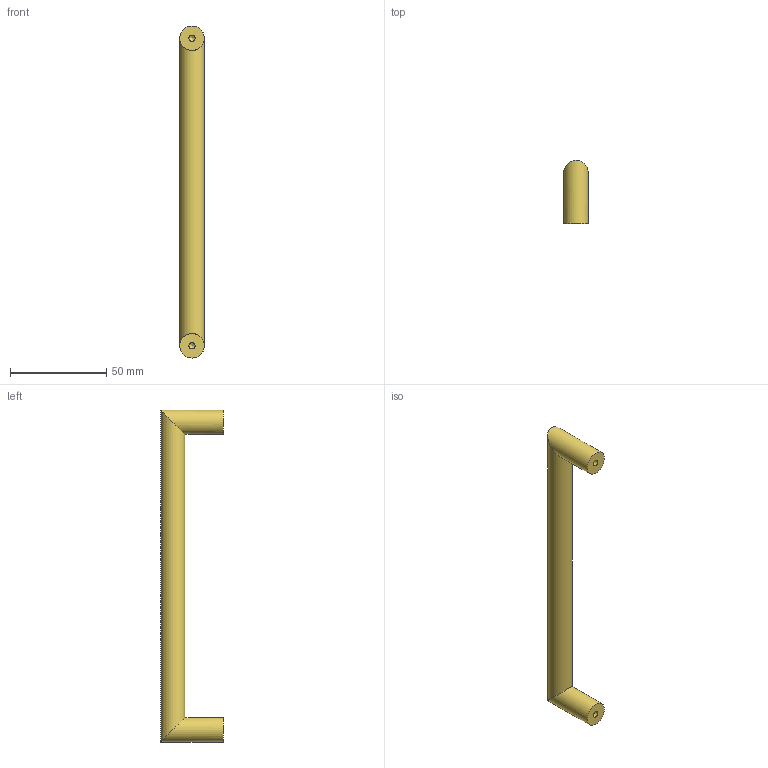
import cadquery as cq
import math

bar_diameter = 12.7
hole_spacing = 160.0
projection = 32.7
hole_diameter = 3.3
hole_depth = 12.0
drill_point_angle = 118.0

bar_radius = bar_diameter / 2
half_spacing = hole_spacing / 2
grip_axis_y = projection - bar_radius
hole_radius = hole_diameter / 2
drill_point_length = hole_radius / math.tan(math.radians(drill_point_angle / 2))


def mitred_bar():
    """Round bar swept along a U-shaped path with sharp mitred corners; feet end at Y = 0."""
    path = cq.Workplane("YZ").polyline(
        [
            (0, -half_spacing),
            (grip_axis_y, -half_spacing),
            (grip_axis_y, half_spacing),
            (0, half_spacing),
        ]
    )
    foot_plane = cq.Workplane("XZ", origin=(0, 0, -half_spacing))
    return foot_plane.circle(bar_radius).sweep(path, transition="right")


def screw_hole(z):
    """Drilled blind hole with a conical end, running along +Y into the foot at height z."""
    profile = cq.Workplane("XY", origin=(0, 0, z)).polyline(
        [
            (0, 0),
            (hole_radius, 0),
            (hole_radius, hole_depth),
            (0, hole_depth + drill_point_length),
        ]
    )
    return profile.close().revolve(360, (0, 0, 0), (0, 1, 0))


result = mitred_bar()
for foot_z in (-half_spacing, half_spacing):
    result = result.cut(screw_hole(foot_z))